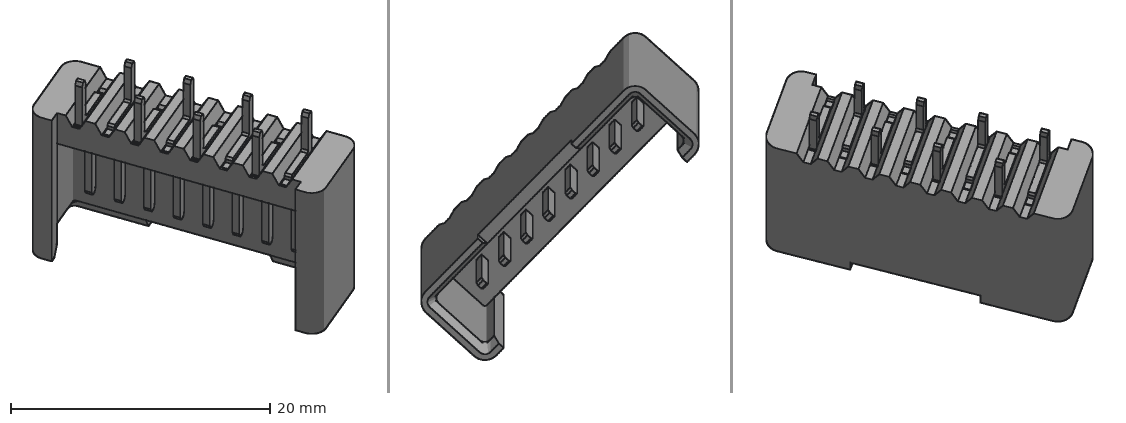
import cadquery as cq

LENGTH = 24.7
DEPTH = 7.5
BODY_HEIGHT = 14.0
CORNER_RADIUS = 1.2
PLATE_BOTTOM = 10.97
END_WALL = 1.01
BACK_WALL = 1.01
CAVITY_RADIUS = 0.2
LIP_DEPTH = 1.01
LIP_LENGTH = 2.05
MOUTH_FLARE = 0.5
MOUTH_HEIGHT = 0.96
MOUTH_RADIUS = 0.7
NOTCH_LENGTH = 10.5

CONTACT_COUNT = 8
PITCH = 2.5
GROOVE_DEPTH = 0.96
GROOVE_TOP_WIDTH = 1.68

WIRE_WIDTH = 0.6
WIRE_THICKNESS = 0.67
BEND_CHAMFER = 0.17
TIP_LENGTH = 0.35
TIP_NARROWING = 0.17
TAIL_OFFSET = 1.85
TAIL_TOP = 17.1
BLADE_THICKNESS = 0.72
BLADE_Y = 0.0
BLADE_BOTTOM = 4.6
BAR_END = 1.68
POCKET_END = 2.52
FRONT_POCKET_DEPTH = 0.15
REAR_POCKET_DEPTH = 0.25

FRONT = -DEPTH / 2
BACK = DEPTH / 2
PLATE_FRONT = FRONT + LIP_DEPTH
CAVITY_BACK = BACK - BACK_WALL
CAVITY_LENGTH = LENGTH - 2 * END_WALL
OPENING_LENGTH = LENGTH - 2 * LIP_LENGTH
GROOVE_FLOOR = BODY_HEIGHT - GROOVE_DEPTH
BAR_TOP = GROOVE_FLOOR + WIRE_THICKNESS / 2
BAR_BOTTOM = GROOVE_FLOOR - WIRE_THICKNESS / 2


def block(length, y_min, y_max, z_min, z_max):
    """Box centred on X = 0."""
    base = cq.Workplane("XY", origin=(0, y_min, z_min))
    return base.box(length, y_max - y_min, z_max - z_min, centered=(True, False, False))


def strip(profile, x_center):
    """Prism, as wide as a contact, of a closed (y, z) profile."""
    side_face = cq.Workplane("YZ", origin=(x_center - WIRE_WIDTH / 2, 0, 0))
    return side_face.polyline(profile).close().extrude(WIRE_WIDTH)


def make_shell():
    """Hollow body with a flared cavity mouth, a front opening and a notch in the back wall."""
    shell = block(LENGTH, FRONT, BACK, 0, BODY_HEIGHT).edges("|Z").fillet(CORNER_RADIUS)
    cavity = block(CAVITY_LENGTH, PLATE_FRONT, CAVITY_BACK, MOUTH_HEIGHT, PLATE_BOTTOM)
    cavity = cavity.edges("|Z").fillet(CAVITY_RADIUS)
    cavity_depth = CAVITY_BACK - PLATE_FRONT
    mouth = (
        cq.Workplane("XY", origin=(0, (CAVITY_BACK + PLATE_FRONT) / 2, 0))
        .rect(CAVITY_LENGTH + 2 * MOUTH_FLARE, cavity_depth + 2 * MOUTH_FLARE)
        .workplane(offset=MOUTH_HEIGHT)
        .rect(CAVITY_LENGTH, cavity_depth)
        .loft()
        .edges("not(|X or |Y)")
        .fillet(MOUTH_RADIUS)
    )
    opening = block(OPENING_LENGTH, FRONT, PLATE_FRONT, 0, BODY_HEIGHT)
    throat = block(OPENING_LENGTH, FRONT, 0, 0, PLATE_BOTTOM)
    notch = block(NOTCH_LENGTH, 0, BACK, 0, MOUTH_HEIGHT)
    return shell.cut(cavity).cut(mouth).cut(opening).cut(throat).cut(notch)


def make_groove(x_center):
    """Tapered groove over the full depth of the plate, with a sunken floor, deeper in its rear half."""
    groove = (
        cq.Workplane("XZ", origin=(x_center, BACK, 0))
        .polyline(
            [
                (-WIRE_WIDTH / 2, GROOVE_FLOOR),
                (WIRE_WIDTH / 2, GROOVE_FLOOR),
                (GROOVE_TOP_WIDTH / 2, BODY_HEIGHT),
                (-GROOVE_TOP_WIDTH / 2, BODY_HEIGHT),
            ]
        )
        .close()
        .extrude(DEPTH)
    )
    pocket = strip(
        [
            (-POCKET_END, GROOVE_FLOOR),
            (FRONT_POCKET_DEPTH - POCKET_END, GROOVE_FLOOR - FRONT_POCKET_DEPTH),
            (0, GROOVE_FLOOR - FRONT_POCKET_DEPTH),
            (0, GROOVE_FLOOR - REAR_POCKET_DEPTH),
            (POCKET_END - REAR_POCKET_DEPTH, GROOVE_FLOOR - REAR_POCKET_DEPTH),
            (POCKET_END, GROOVE_FLOOR),
        ],
        x_center,
    )
    return groove.union(pocket)


def make_contact(x_center, side):
    """Blade in the cavity, bar along the groove and tail pointing up; side -1 puts the tail in front."""
    half = WIRE_THICKNESS / 2
    tip_half = half - TIP_NARROWING
    tail_inner = TAIL_OFFSET - half
    tail_outer = TAIL_OFFSET + half
    bent_wire = [
        (-BAR_END, BAR_BOTTOM),
        (tail_outer, BAR_BOTTOM),
        (tail_outer, TAIL_TOP - TIP_LENGTH),
        (TAIL_OFFSET + tip_half, TAIL_TOP),
        (TAIL_OFFSET - tip_half, TAIL_TOP),
        (tail_inner, TAIL_TOP - TIP_LENGTH),
        (tail_inner, BAR_TOP + BEND_CHAMFER),
        (tail_inner - BEND_CHAMFER, BAR_TOP),
        (BEND_CHAMFER - BAR_END, BAR_TOP),
        (-BAR_END, BAR_TOP - BEND_CHAMFER),
    ]
    blade_half = BLADE_THICKNESS / 2
    blade_tip_half = blade_half - TIP_NARROWING
    blade = [
        (BLADE_Y - blade_half, GROOVE_FLOOR),
        (BLADE_Y - blade_half, BLADE_BOTTOM + TIP_LENGTH),
        (BLADE_Y - blade_tip_half, BLADE_BOTTOM),
        (BLADE_Y + blade_tip_half, BLADE_BOTTOM),
        (BLADE_Y + blade_half, BLADE_BOTTOM + TIP_LENGTH),
        (BLADE_Y + blade_half, GROOVE_FLOOR),
    ]
    bar_and_tail = strip([(side * y, z) for y, z in bent_wire], x_center)
    return bar_and_tail.union(strip(blade, x_center))


result = make_shell()
for index in range(CONTACT_COUNT):
    x_center = (index - (CONTACT_COUNT - 1) / 2) * PITCH
    side = -1 if index % 2 == 0 else 1
    result = result.cut(make_groove(x_center)).union(make_contact(x_center, side))